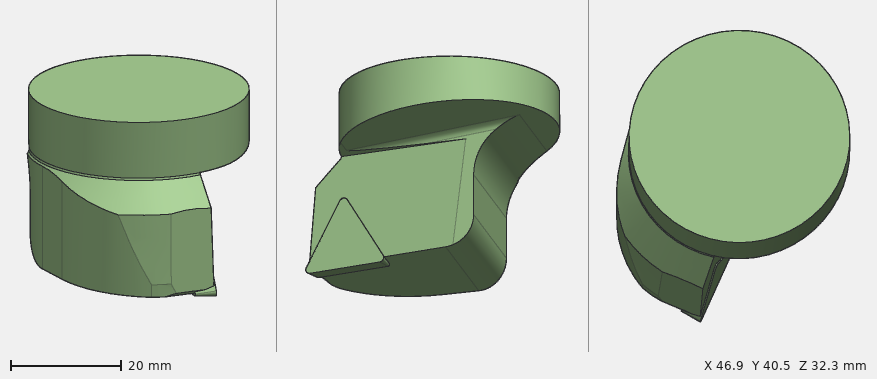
import cadquery as cq
import math

BIG = 80.0

FLANGE_R = 20.0
FLANGE_H = 10.6
LIP_STEP = 0.15
LIP_H = 0.4
SHOULDER_Z = -16.0
CLEARANCE_ANGLE = 5.0
LAND_R = 26.28
LOWEST_Z = -34.0

SHANK_R = 20.47
FLAT_LENGTH = 6.75

UNDERCUT_X = -5.65
UNDERCUT_R = 10.0
UNDERSIDE_Z = -9.0
UNDERSIDE_ANGLE = 5.0
BOTTOM_Z = -30.85
BOTTOM_ANGLE = 1.1
HEEL_R = 5.5

BACK_Y = 3.95
BACK_ANGLE = 5.0
BACK_FILLET_R = 1.3

FLANK_X = 24.77
FLANK_LEAN = 4.8
FLANK_BEVEL_W = 0.4
FLANK_BEVEL_H = 0.55

EDGE = 16.5
CORNER_R = 0.8
INSERT_T = 3.97
RELIEF_ANGLE = 7.0
RAKE_ANGLE = 8.4
RAKE_RECESS = 0.28
TIP_X = 26.87
TIP_Y = 0.0
INSERT_BOTTOM_Z = -32.32


def slope(angle):
    return math.tan(math.radians(angle))


def turned_envelope():
    lip_r = FLANGE_R + LIP_STEP
    lip_z = -FLANGE_H - LIP_H
    shoulder_r = lip_r + lip_z - SHOULDER_Z
    land_z = SHOULDER_Z - (LAND_R - shoulder_r) / slope(CLEARANCE_ANGLE)
    return (
        cq.Workplane("XZ")
        .moveTo(0, -FLANGE_H)
        .lineTo(FLANGE_R, -FLANGE_H)
        .lineTo(lip_r, lip_z)
        .lineTo(shoulder_r, SHOULDER_Z)
        .lineTo(LAND_R, land_z)
        .lineTo(LAND_R, LOWEST_Z)
        .lineTo(0, LOWEST_Z)
        .close()
        .revolve(360, (0, 0, 0), (0, 1, 0))
    )


def shank_column():
    half = SHANK_R * math.sqrt(0.5)
    nose_x = FLAT_LENGTH + SHANK_R
    return (
        cq.Workplane("XY")
        .workplane(offset=LOWEST_Z)
        .moveTo(-SHANK_R, 0)
        .threePointArc((-half, -half), (0, -SHANK_R))
        .lineTo(FLAT_LENGTH, -SHANK_R)
        .threePointArc((FLAT_LENGTH + half, -half), (nose_x, 0))
        .lineTo(nose_x, SHANK_R)
        .lineTo(-SHANK_R, SHANK_R)
        .close()
        .extrude(-FLANGE_H - LOWEST_Z)
    )


def undercut():
    """Space under the flange on the -X side, with a large round against the shank."""
    rise = slope(UNDERSIDE_ANGLE)
    return (
        cq.Workplane("XZ")
        .workplane(offset=-BIG)
        .moveTo(UNDERCUT_X, UNDERSIDE_Z - UNDERCUT_X * rise)
        .lineTo(-BIG, UNDERSIDE_Z + BIG * rise)
        .lineTo(-BIG, -BIG)
        .lineTo(UNDERCUT_X, -BIG)
        .close()
        .extrude(2 * BIG)
        .edges("|Y")
        .edges(cq.selectors.NearestToPointSelector((UNDERCUT_X, 0, UNDERSIDE_Z)))
        .fillet(UNDERCUT_R)
    )


def bottom_cut():
    """Space below the sloping bottom, sweeping up around the rounded heel on the -X side."""
    drop = math.radians(BOTTOM_ANGLE)
    center_x = UNDERCUT_X + HEEL_R
    center_z = BOTTOM_Z - center_x * math.tan(drop) + HEEL_R / math.cos(drop)
    foot_x = center_x - HEEL_R * math.sin(drop)
    foot_z = center_z - HEEL_R * math.cos(drop)
    return (
        cq.Workplane("XZ")
        .workplane(offset=-BIG)
        .moveTo(UNDERCUT_X, center_z)
        .radiusArc((foot_x, foot_z), -HEEL_R)
        .lineTo(BIG, BOTTOM_Z - BIG * math.tan(drop))
        .lineTo(BIG, -BIG)
        .lineTo(UNDERCUT_X, -BIG)
        .close()
        .extrude(2 * BIG)
    )


def back_cut():
    """Space under the flange on the +Y side, filleted against the sloping underside."""
    turn = math.radians(BACK_ANGLE)
    tilt = math.radians(UNDERSIDE_ANGLE)
    underside_up = cq.Vector(math.sin(tilt), 0, math.cos(tilt))
    fall = math.cos(turn) * math.tan(tilt)
    along = cq.Vector(math.cos(turn), -math.sin(turn), -fall).normalized()
    outward = underside_up.cross(along)
    return (
        cq.Workplane(cq.Plane((0, BACK_Y, UNDERSIDE_Z), outward, along))
        .workplane(offset=-BIG)
        .moveTo(0, -BIG)
        .lineTo(0, -BACK_FILLET_R)
        .radiusArc((BACK_FILLET_R, 0), BACK_FILLET_R)
        .lineTo(BIG, 0)
        .lineTo(BIG, -BIG)
        .close()
        .extrude(2 * BIG)
    )


def flank_cut():
    """Space outside the leaning flank, with a small bevel along its foot."""
    lean = slope(FLANK_LEAN)
    foot_z = BOTTOM_Z - FLANK_X * slope(BOTTOM_ANGLE)
    bevel_z = foot_z + FLANK_BEVEL_H
    bevel_x = FLANK_X + (SHOULDER_Z - bevel_z) * lean
    return (
        cq.Workplane("XZ")
        .workplane(offset=-BIG)
        .moveTo(FLANK_X + SHOULDER_Z * lean, 0)
        .lineTo(bevel_x, bevel_z)
        .lineTo(bevel_x - FLANK_BEVEL_W, foot_z)
        .lineTo(bevel_x - FLANK_BEVEL_W, LOWEST_Z)
        .lineTo(BIG, LOWEST_Z)
        .lineTo(BIG, 0)
        .close()
        .extrude(2 * BIG)
        .rotate((0, 0, 0), (0, 0, 1), -RAKE_ANGLE)
    )


def rake_cut():
    """Space in front of the shank face that carries the insert."""
    shank_y = TIP_Y - RAKE_RECESS / math.cos(math.radians(RAKE_ANGLE))
    return (
        cq.Workplane("XY")
        .rect(2 * BIG, BIG)
        .extrude(-BIG)
        .translate((0, BIG / 2, -FLANGE_H))
        .rotate((0, 0, 0), (0, 0, 1), -RAKE_ANGLE)
        .translate((TIP_X, shank_y, 0))
    )


def make_insert():
    """Rounded triangle with relief on its sides, its face turned by the rake angle."""
    inner_r = EDGE / (2 * math.sqrt(3))
    plate = (
        cq.Workplane("XZ")
        .polyline([(-EDGE / 2, -inner_r), (EDGE / 2, -inner_r), (0, 2 * inner_r)])
        .close()
        .extrude(INSERT_T)
        .edges("|Y")
        .fillet(CORNER_R)
        .faces(">Y")
        .wires()
        .toPending()
        .workplane()
        .extrude(-INSERT_T, combine=False, taper=RELIEF_ANGLE)
        .rotate((0, 0, 0), (0, 1, 0), BOTTOM_ANGLE)
        .rotate((0, 0, 0), (0, 0, 1), -RAKE_ANGLE)
    )
    box = plate.val().BoundingBox()
    shift_y = box.xmax * slope(RAKE_ANGLE) + TIP_Y
    return plate.translate((TIP_X - box.xmax, shift_y, INSERT_BOTTOM_Z - box.zmin))


def make_holder(insert):
    flange = cq.Workplane("XY").circle(FLANGE_R).extrude(-FLANGE_H)
    shank = shank_column().intersect(turned_envelope())
    holder = flange.union(shank)
    for cut in (undercut(), bottom_cut(), back_cut(), flank_cut(), rake_cut(), insert):
        holder = holder.cut(cut)
    return holder


insert = make_insert()
holder = make_holder(insert)
result = cq.Compound.makeCompound([holder.val(), insert.val()])